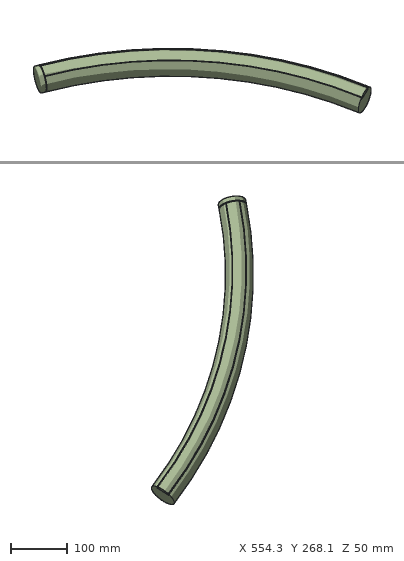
import cadquery as cq
import math

rail_diameter = 50.0
bend_radius = 742.5
bend_angle = 45.2
open_end_length = 3.5

slot_width = 25.5
slot_floor_height = 16.5
strip_gap = 1.0

cap_thickness = 9.5
cap_fillet = 3.0
neck_length = 1.0
neck_depth = 1.5

rail_radius = rail_diameter / 2
strip_width = slot_width - 2 * strip_gap
turn = math.radians(bend_angle)


def height_on_rail(offset):
    """Height of the rail's round surface at a sideways offset from its middle."""
    return math.sqrt(rail_radius**2 - offset**2)


def follow_centreline(section):
    """Solid of one cross-section carried over the straight open end and round the bend."""
    bend = section.revolve(bend_angle, (-bend_radius, 0), (-bend_radius, 1))
    return bend.faces(">X").wires().toPending().extrude(open_end_length)


def make_rail():
    """Round bar with a flat-floored slot along its top."""
    half_slot = slot_width / 2
    slot_rim = height_on_rail(half_slot)
    section = (
        cq.Workplane("YZ")
        .moveTo(-half_slot, slot_rim)
        .lineTo(-half_slot, slot_floor_height)
        .lineTo(half_slot, slot_floor_height)
        .lineTo(half_slot, slot_rim)
        .threePointArc((0, -rail_radius), (-half_slot, slot_rim))
        .close()
    )
    return follow_centreline(section)


def make_strip():
    """Cover strip on the slot floor, its top following the rail's round surface."""
    half_strip = strip_width / 2
    strip_rim = height_on_rail(half_strip)
    section = (
        cq.Workplane("YZ")
        .moveTo(-half_strip, strip_rim)
        .lineTo(-half_strip, slot_floor_height)
        .lineTo(half_strip, slot_floor_height)
        .lineTo(half_strip, strip_rim)
        .threePointArc((0, rail_radius), (-half_strip, strip_rim))
        .close()
    )
    return follow_centreline(section)


def make_cap():
    """Disc rounded around its outer face, standing off the rail on a narrower neck."""
    seat = cq.Plane(
        origin=(-bend_radius * math.sin(turn), -bend_radius * (1 - math.cos(turn)), 0),
        xDir=(0, 0, 1),
        normal=(-math.cos(turn), -math.sin(turn), 0),
    )
    neck = cq.Workplane(seat).circle(rail_radius - neck_depth).extrude(neck_length)
    disc = cq.Workplane(seat).workplane(offset=neck_length).circle(rail_radius).extrude(cap_thickness)
    outer_face = cq.selectors.DirectionMinMaxSelector(seat.zDir, True)
    return disc.faces(outer_face).edges().fillet(cap_fillet).union(neck)


rail = make_rail()
strip = make_strip()
cap = make_cap()

result = cq.Compound.makeCompound([rail.val(), strip.val(), cap.val()])